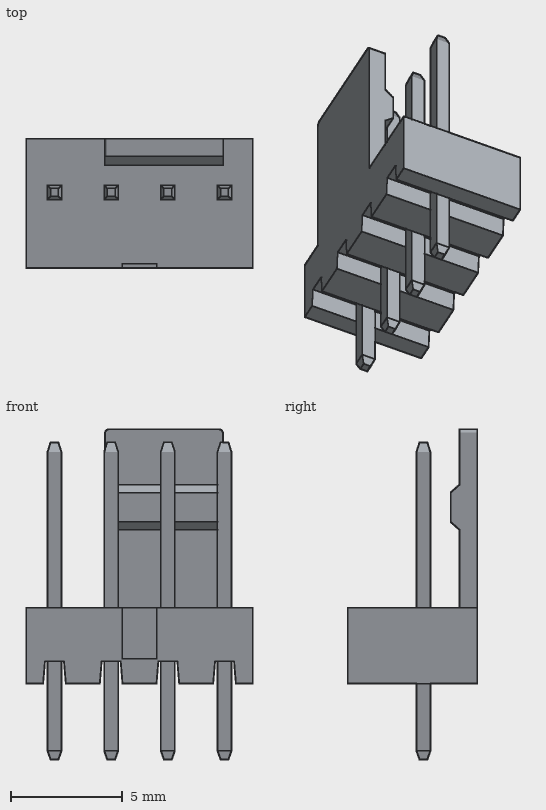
import cadquery as cq


pin_count = 4
body_width = 10.15
body_depth = 5.8
body_height = 3.4
body_bottom = 3.4
body_top = body_bottom + body_height
body_back = body_depth / 2
body_front = -body_depth / 2

pitch = body_width / pin_count
pin_positions = [(i - (pin_count - 1) / 2) * pitch for i in range(pin_count)]
pin_size = 0.64
pin_tip_size = 0.35
pin_top = 14.21
upper_tip_height = 0.45
lower_tip_height = 0.4
pin_y = body_back - 2.41

slot_depth = 0.99
slot_mouth_width = 1.0
slot_root_width = 0.85

notch_width = 1.52
notch_depth = 0.2
notch_height = 2.3

wall_width = 5.3
wall_thickness = 0.8
wall_center_x = 1.1
wall_top = 14.8
wall_corner_radius = 0.2

ridge_projection = 0.4
ridge_ramp_height = 0.35
ridge_top = 12.31
ridge_bottom = 10.29


def make_slot(x):
    root_z = body_bottom + slot_depth
    outline = [
        (x - slot_mouth_width / 2, body_bottom),
        (x + slot_mouth_width / 2, body_bottom),
        (x + slot_root_width / 2, root_z),
        (x - slot_root_width / 2, root_z),
    ]
    return cq.Workplane("XZ").polyline(outline).close().extrude(body_depth / 2, both=True)


def make_housing():
    housing = (
        cq.Workplane("XY")
        .workplane(offset=body_bottom)
        .rect(body_width, body_depth)
        .extrude(body_height)
    )
    notch = (
        cq.Workplane("XY")
        .box(notch_width, notch_depth, notch_height, centered=(True, False, False))
        .translate((0, body_front, body_top - notch_height))
    )
    housing = housing.cut(notch)
    for x in pin_positions:
        housing = housing.cut(make_slot(x))
    return housing


def make_wall():
    inner_y = body_back - wall_thickness
    ridge_y = inner_y - ridge_projection
    profile = [
        (body_back, body_top),
        (body_back, wall_top),
        (inner_y, wall_top),
        (inner_y, ridge_top),
        (ridge_y, ridge_top - ridge_ramp_height),
        (ridge_y, ridge_bottom + ridge_ramp_height),
        (inner_y, ridge_bottom),
        (inner_y, body_top),
    ]
    wall = cq.Workplane("YZ").polyline(profile).close().extrude(wall_width / 2, both=True)
    wall = wall.faces(">Z").edges("|Y").fillet(wall_corner_radius)
    return wall.translate((wall_center_x, 0, 0))


def make_square_taper(start_z, start_size, end_z, end_size):
    return (
        cq.Workplane("XY")
        .workplane(offset=start_z)
        .rect(start_size, start_size)
        .workplane(offset=end_z - start_z)
        .rect(end_size, end_size)
        .loft(ruled=True)
    )


def make_pin(x):
    shank_top = pin_top - upper_tip_height
    shank = make_square_taper(lower_tip_height, pin_size, shank_top, pin_size)
    lower_tip = make_square_taper(0, pin_tip_size, lower_tip_height, pin_size)
    upper_tip = make_square_taper(shank_top, pin_size, pin_top, pin_tip_size)
    return shank.union(lower_tip).union(upper_tip).translate((x, pin_y, 0))


result = make_housing().union(make_wall())
for pin_x in pin_positions:
    result = result.union(make_pin(pin_x))